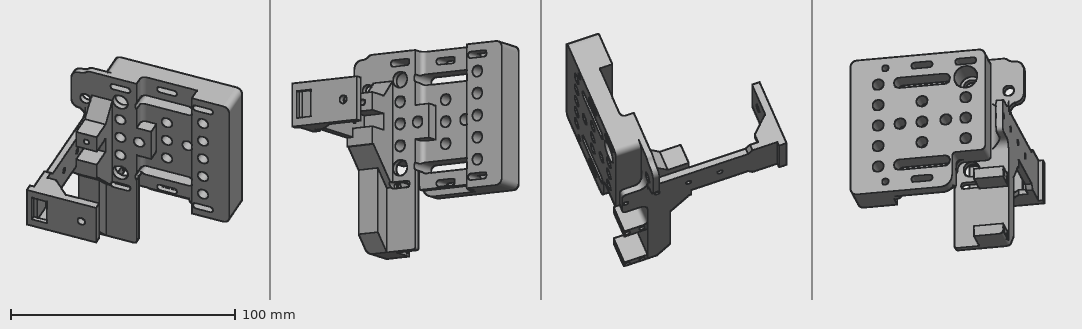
import cadquery as cq
import math

width = 76.5
height = 90.5
reach = 77.7

relief_depth = 6.0
floor_depth = 9.0
plate_back = 12.0
front_depth = 15.0

corner_radius = 3.0
blend_radius = 4.0
small_radius = 2.0

block_left = 14.9
block_bottom = 25.1
block_shoulder = 41.45
lower_left = 30.05
lower_corner_radius = 5.25
shoulder_fillet = 2.0
web_fillet = 3.1
channel_left = 31.7
channel_right = 58.4
channel_fillet = 2.3
web_bottom = 35.8
web_round_top = 38.4
web_round_radius = 2.5
relief_top = 28.1
relief_right = 54.4

pattern_span = 40.0
column_count = 5
pitch = pattern_span / (column_count - 1)
first_column = 23.8
middle_row = 57.7
hole_diameter = 5.1
large_hole_diameter = 7.2
counterbore_diameter = 10.5
long_slot_length = 25.5
long_slot_width = 5.0
short_slot_length = 9.6
short_slot_width = 3.0
short_slot_offset = 27.7

tongue_top = 88.6
tongue_bottom = 68.5
tongue_crest = 9.2
tongue_bend_x = 7.5
tongue_bend_z = 89.9
tongue_neck = 4.4
tongue_root = 64.4
tongue_root_radius = 4.5
tongue_hole = (6.9, 74.6)
tongue_hole_diameter = 5.0

arm_left = 6.9
arm_right = 10.0
arm_height = 15.5
head_height = 19.6
head_start = 62.2
head_chamfer = (head_height - arm_height) / 2
arm_hole_diameter = 2.4
arm_hole_first = 1.6
arm_hole_pitch = 15.0
arm_hole_count = 4
leg_rib_right = arm_left + pitch
leg_depth = 22.9
leg_right_radius = 1.2

lug_right = arm_right + pitch
lug_depth = 32.9
lug_top = 69.6
lug_bottom = 46.1
lug_slope_start = 31.95
lug_gap = 7.4
lug_hole_z = 65.4
lug_hole_diameter = 2.5

stop_right = 38.7
stop_hole_x = 32.85

foot_left = 7.0
foot_right = 20.3
foot_back = 1.0
foot_height = 4.9
upper_foot_bottom = 28.0
foot_hole_depths = (2.4, 9.5)
foot_hole_lift = 2.35
foot_hole_diameter = 2.5

end_left = 4.9
end_right = 38.5
end_thickness = 3.6
gusset_back = 66.1
gusset_flat = 14.1
window_left = 7.3
window_right = 14.6
window_height = 12.2
window_lip = 2.1
pocket_left = 9.05
pocket_right = 19.9
pocket_margin = 1.3
end_hole_x = 31.3
end_hole_diameter = 3.6


def plane_at_depth(depth):
    """Plane parallel to XZ whose positive extrusion runs forward along -Y."""
    return cq.Workplane("XZ", origin=(0, -depth, 0))


def slab(x0, x1, depth0, depth1, z0, z1):
    """Box given by its X range, its depth range from the back face and its Z range."""
    corner = cq.Workplane("XY", origin=(x0, -depth1, z0))
    return corner.box(x1 - x0, depth1 - depth0, z1 - z0, centered=False)


def side_profile(points, x0, x1):
    """Prism along X from (depth, z) corner points."""
    outline = [(-depth, z) for depth, z in points]
    side = cq.Workplane("YZ", origin=(x0, 0, 0))
    return side.polyline(outline).close().extrude(x1 - x0)


def cross_hole(depth, z, diameter, x0, x1):
    """Round cutter along X."""
    side = cq.Workplane("YZ", origin=(x0, 0, 0))
    return side.center(-depth, z).circle(diameter / 2).extrude(x1 - x0)


def concave_fillet(plane, corner, radius, length):
    """Quarter-round filler for an inner corner; signed radii pick the quadrant."""
    u, v = corner
    du, dv = radius
    inset = 1 - math.sqrt(0.5)
    return (
        plane.moveTo(u, v)
        .lineTo(u + du, v)
        .threePointArc((u + du * inset, v + dv * inset), (u, v + dv))
        .close()
        .extrude(length)
    )


def back_block():
    """Full-height block, notched at its lower left and relieved along its bottom."""
    upper = slab(block_left, width, 0, plate_back, block_shoulder, height)
    upper = upper.edges("|Y and >Z").fillet(corner_radius)
    upper = upper.edges("|Y and <X and <Z").fillet(small_radius)
    lower = slab(lower_left, width, 0, plate_back, block_bottom, block_shoulder)
    lower = lower.edges("|Y and <X and <Z").fillet(lower_corner_radius)
    lower = lower.edges("|Y and >X and <Z").fillet(corner_radius)
    corner = (lower_left, block_shoulder)
    shoulder = concave_fillet(plane_at_depth(0), corner, (-shoulder_fillet, -shoulder_fillet), floor_depth)
    web_shoulder = concave_fillet(
        plane_at_depth(floor_depth), corner, (-web_fillet, -web_fillet), plate_back - floor_depth
    )
    channel = slab(channel_left, channel_right, floor_depth, front_depth, 0, height)
    block = upper.union(lower).cut(channel).cut(web_clearance()).cut(bottom_relief())
    return block.union(shoulder).union(web_shoulder)


def web_clearance():
    """Opens the wall left of the channel below a rounded lower edge."""
    return (
        plane_at_depth(floor_depth)
        .moveTo(block_left, web_round_top)
        .lineTo(lower_left, web_round_top)
        .radiusArc((channel_left, web_bottom), -web_round_radius)
        .lineTo(channel_left, 0)
        .lineTo(block_left, 0)
        .close()
        .extrude(plate_back - floor_depth)
    )


def bottom_relief():
    """Step along the bottom of the channel floor, with a rounded right end."""
    round_right = relief_right + corner_radius
    return (
        plane_at_depth(relief_depth)
        .moveTo(block_left, relief_top)
        .lineTo(relief_right, relief_top)
        .radiusArc((round_right, block_bottom), -corner_radius)
        .lineTo(round_right, 0)
        .lineTo(block_left, 0)
        .close()
        .extrude(plate_back - relief_depth)
    )


def right_rail():
    rail = slab(channel_right, width, floor_depth, front_depth, block_bottom, height)
    return rail.edges("|Y and >X").fillet(corner_radius)


def channel_corner():
    """Fillet along the left inner corner of the channel, ending at the lower long slot."""
    slot_row = middle_row - 2 * pitch
    return concave_fillet(
        cq.Workplane("XY", origin=(0, 0, slot_row)),
        (channel_left, -floor_depth),
        (channel_fillet, -channel_fillet),
        height - slot_row,
    )


def front_plate():
    """Plate carrying the tongue at its upper left and the leg below."""
    plate = (
        plane_at_depth(plate_back)
        .moveTo(channel_left, height)
        .lineTo(tongue_crest, height)
        .tangentArcPoint((tongue_bend_x, tongue_bend_z), relative=False)
        .tangentArcPoint((tongue_neck, tongue_top), relative=False)
        .lineTo(blend_radius, tongue_top)
        .radiusArc((0, tongue_top - blend_radius), -blend_radius)
        .lineTo(0, tongue_bottom + blend_radius)
        .radiusArc((blend_radius, tongue_bottom), -blend_radius)
        .radiusArc((arm_left, tongue_root), tongue_root_radius)
        .lineTo(arm_left, 0)
        .lineTo(channel_left, 0)
        .close()
        .extrude(front_depth - plate_back)
    )
    return plate.edges("|Y and >X and <Z").fillet(leg_right_radius)


def leg_rib():
    """Thick left side of the leg with a sloped foot and a slope up to the lug."""
    slope_rise = leg_depth - front_depth
    return side_profile(
        [
            (plate_back, 0),
            (front_depth, 0),
            (leg_depth, slope_rise),
            (leg_depth, lug_bottom),
            (plate_back, lug_bottom),
        ],
        arm_left,
        leg_rib_right,
    )


def leg_corner_cut():
    """Sliver outside the rounded lower left edge of the leg and its foot."""
    return concave_fillet(plane_at_depth(0), (arm_left, 0), (small_radius, small_radius), leg_depth)


def lugs():
    """Two clamp lugs in front of the plate, with a gap at the height of the arm."""
    lower_rise = lug_slope_start - front_depth
    upper_drop = leg_depth - front_depth
    body = side_profile(
        [
            (front_depth, lug_bottom - lower_rise),
            (lug_slope_start, lug_bottom),
            (lug_depth, lug_bottom),
            (lug_depth, lug_top),
            (leg_depth, lug_top),
            (front_depth, lug_top + upper_drop),
        ],
        arm_right,
        lug_right,
    )
    left_base = side_profile(
        [
            (front_depth, lug_bottom - lower_rise),
            (lug_slope_start, lug_bottom),
            (lug_depth, lug_bottom),
            (lug_depth, middle_row),
            (front_depth, middle_row),
        ],
        arm_left,
        arm_right,
    )
    gap = slab(
        arm_right, lug_right, leg_depth, lug_depth, middle_row - lug_gap / 2, middle_row + lug_gap / 2
    )
    lug_hole = (
        plane_at_depth(leg_depth)
        .center((arm_right + lug_right) / 2, lug_hole_z)
        .circle(lug_hole_diameter / 2)
        .extrude(lug_depth - leg_depth)
    )
    return body.cut(gap).cut(lug_hole).union(left_base)


def arm():
    """Bar along Y, widened into a head at its tip and blended into the front plate."""
    tip = reach - end_thickness
    arm_top = middle_row + arm_height / 2
    arm_bottom = middle_row - arm_height / 2
    bar = slab(arm_left, arm_right, 0, tip, arm_bottom, arm_top)
    bar = bar.edges("|X and >Y").fillet(small_radius)
    neck = head_start - head_chamfer
    head_top = middle_row + head_height / 2
    head_bottom = middle_row - head_height / 2
    head = side_profile(
        [
            (neck, arm_bottom),
            (head_start, head_bottom),
            (tip, head_bottom),
            (tip, head_top),
            (head_start, head_top),
            (neck, arm_top),
        ],
        arm_left,
        arm_right,
    )
    return bar.union(head).union(arm_blends(arm_bottom, arm_top))


def arm_blends(arm_bottom, arm_top):
    """Fillets between the arm, the front plate and the back block."""
    inner_radius = block_left - arm_right
    side = cq.Workplane("YZ", origin=(arm_left, 0, 0))
    full_length = block_left - arm_left
    back_top = concave_fillet(side, (-plate_back, arm_top), (blend_radius, blend_radius), full_length)
    back_bottom = concave_fillet(
        side, (-plate_back, arm_bottom), (blend_radius, -blend_radius), full_length
    )
    front_top = concave_fillet(
        side, (-front_depth, arm_top), (-blend_radius, blend_radius), arm_right - arm_left
    )
    behind_plate = slab(arm_left, block_left, 0, plate_back, arm_bottom, arm_top)
    behind_plate = behind_plate.union(back_top).union(back_bottom)

    footprint = slab(arm_left, arm_right, 0, plate_back, 0, height)
    corner = concave_fillet(
        cq.Workplane("XY"), (arm_right, -plate_back), (inner_radius, inner_radius), height
    )
    footprint = footprint.union(corner)
    blends = behind_plate.intersect(footprint)
    rounding = slab(arm_left, arm_right, 0, small_radius, arm_bottom, arm_top)
    return blends.cut(rounding).union(front_top)


def end_plate():
    """Cross plate at the arm tip with its 45 degree gusset, window and hole."""
    inner_face = reach - end_thickness
    head_bottom = middle_row - head_height / 2
    plate = slab(end_left, end_right, inner_face, reach, head_bottom, head_bottom + head_height)
    gusset = (
        cq.Workplane("XY", origin=(0, 0, head_bottom))
        .polyline(
            [
                (arm_right, -gusset_back),
                (gusset_flat, -gusset_back),
                (gusset_flat + inner_face - gusset_back, -inner_face),
                (arm_right, -inner_face),
            ]
        )
        .close()
        .extrude(head_height)
    )
    hole = (
        plane_at_depth(inner_face)
        .center(end_hole_x, middle_row)
        .circle(end_hole_diameter / 2)
        .extrude(end_thickness)
    )
    return plate.union(gusset).cut(hole)


def window_cut():
    """Window in the end plate, opening behind its lip into a larger pocket."""
    window_bottom = middle_row - window_height / 2
    window_top = middle_row + window_height / 2
    lip_depth = reach - window_lip
    window = slab(window_left, window_right, lip_depth, reach, window_bottom, window_top)
    pocket = slab(
        pocket_left,
        pocket_right,
        gusset_back,
        lip_depth,
        window_bottom - pocket_margin,
        window_top + pocket_margin,
    )
    return window.union(pocket)


def foot(bottom):
    """Mounting foot behind the leg, drilled twice along X."""
    block = slab(foot_left, foot_right, foot_back, plate_back, bottom, bottom + foot_height)
    for depth in foot_hole_depths:
        hole_z = bottom + foot_hole_lift
        block = block.cut(cross_hole(depth, hole_z, foot_hole_diameter, foot_left, foot_right))
    return block


def feet():
    fillet = concave_fillet(
        cq.Workplane("YZ", origin=(foot_left, 0, 0)),
        (-plate_back, upper_foot_bottom + foot_height),
        (small_radius, small_radius),
        foot_right - foot_left,
    )
    return foot(0).union(foot(upper_foot_bottom)).union(fillet)


def stop_block():
    """Raised block in the channel, level with the arm."""
    bottom = middle_row - arm_height / 2
    return slab(channel_left, stop_right, floor_depth, front_depth, bottom, bottom + arm_height)


def cut_holes(body, points, diameter, depth=front_depth):
    """Round holes starting at the back face."""
    return body.cut(plane_at_depth(0).pushPoints(points).circle(diameter / 2).extrude(depth))


def cut_slots(body, points, length, slot_width, start_depth=0):
    """Slots along X, running from the start depth out past the front plate."""
    cutter = plane_at_depth(start_depth).pushPoints(points).slot2D(length, slot_width)
    return body.cut(cutter.extrude(lug_depth - start_depth))


def cut_hole_pattern(body):
    """Round holes and slots running front to back through the block and plate."""
    columns = [first_column + i * pitch for i in range(column_count)]
    inner_rows = [middle_row + i * pitch for i in (-1, 0, 1)]
    outer_rows = [middle_row + i * pitch for i in (-2, 2)]
    slot_rows = [middle_row - short_slot_offset, middle_row + short_slot_offset]

    small = [(columns[i], z) for i in (0, 2, 4) for z in inner_rows]
    small += [(stop_hole_x, middle_row), (columns[3], middle_row)]
    small += [(columns[4], z) for z in outer_rows]
    large = [(columns[0], z) for z in outer_rows]
    long_slots = [(columns[2], z) for z in outer_rows]
    short_slots = [(columns[i], z) for i in (0, 2) for z in slot_rows]
    blind_slots = [(columns[4], z) for z in slot_rows]
    slot_end = columns[4] - (short_slot_length - short_slot_width) / 2

    body = cut_holes(body, small, hole_diameter)
    body = cut_holes(body, large, large_hole_diameter)
    body = cut_holes(body, [large[-1]], counterbore_diameter, plate_back)
    body = cut_holes(body, [tongue_hole], tongue_hole_diameter)
    body = cut_slots(body, long_slots, long_slot_length, long_slot_width)
    body = cut_slots(body, short_slots, short_slot_length, short_slot_width)
    body = cut_slots(body, blind_slots, short_slot_length, short_slot_width, floor_depth)
    return cut_holes(body, [(slot_end, z) for z in slot_rows], short_slot_width, floor_depth)


def cut_arm_holes(body):
    """Row of cross holes along the arm, running through the arm plate only."""
    for i in range(arm_hole_count):
        depth = arm_hole_first + i * arm_hole_pitch
        body = body.cut(cross_hole(depth, middle_row, arm_hole_diameter, arm_left, arm_right))
    return body


block = back_block().union(right_rail()).union(channel_corner()).union(stop_block())
plate_side = block.union(front_plate()).union(leg_rib()).union(lugs())
plate_side = cut_hole_pattern(plate_side)
arm_side = arm().union(end_plate()).cut(window_cut())
result = plate_side.union(feet()).union(arm_side).cut(leg_corner_cut())
result = cut_arm_holes(result)